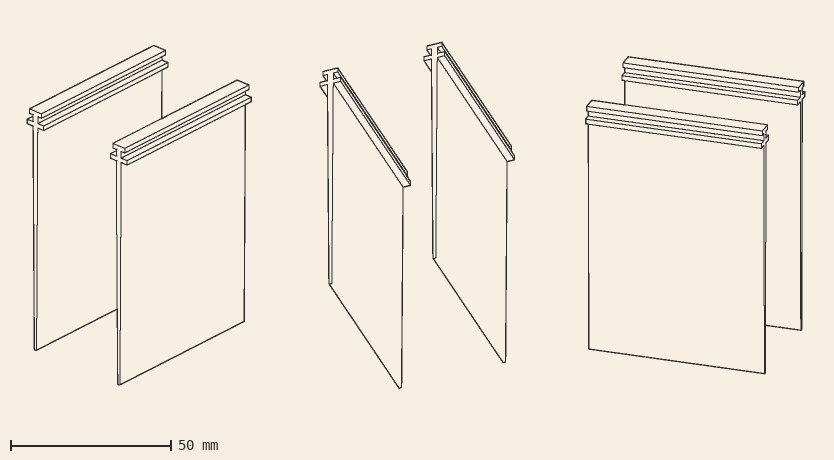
import cadquery as cq

overall_width = 42.0
blade_length = 58.0
overall_height = 84.0

head_width = 5.0
flange_width = 7.0
plate_thickness = 1.6
neck_width = 2.0
neck_height = 2.35

tip_width = 1.0
tip_radius = 0.3

blade_count = 2
blade_spacing = (overall_width - flange_width) / (blade_count - 1)

head_bottom = overall_height - plate_thickness
flange_top = head_bottom - neck_height
flange_bottom = flange_top - plate_thickness


def make_blade(center_x):
    """One tapered blade with its flange, neck and head, extruded along Y."""
    right_half = [
        (tip_width / 2, 0),
        (neck_width / 2, flange_bottom),
        (flange_width / 2, flange_bottom),
        (flange_width / 2, flange_top),
        (neck_width / 2, flange_top),
        (neck_width / 2, head_bottom),
        (head_width / 2, head_bottom),
        (head_width / 2, overall_height),
    ]
    left_half = [(-x, z) for x, z in reversed(right_half)]
    return (
        cq.Workplane("XZ")
        .polyline(right_half + left_half)
        .close()
        .extrude(blade_length / 2, both=True)
        .edges("|Y and <Z")
        .fillet(tip_radius)
        .translate((center_x, 0, 0))
    )


first_x = -blade_spacing * (blade_count - 1) / 2
blades = []
for index in range(blade_count):
    blade = make_blade(first_x + index * blade_spacing)
    blades.append(blade.val())

result = cq.Compound.makeCompound(blades)